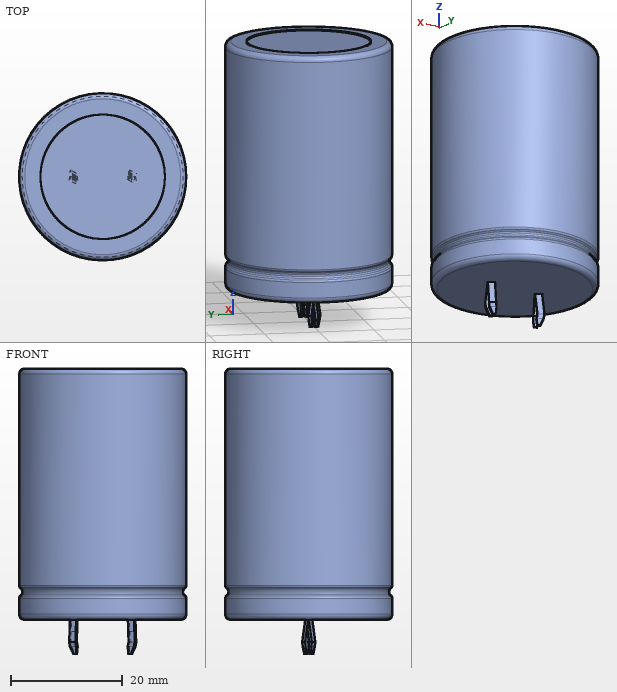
import cadquery as cq

overall_height = 51.15
can_diameter = 29.95
pin_length = 6.15
can_height = overall_height - pin_length
can_radius = can_diameter / 2
rim_radius = 1.0

groove_height = 5.0
groove_depth = 0.55
root_half_width = 0.35
groove_half_width = root_half_width + groove_depth
shoulder_radius = 0.55
root_radius = 0.45
selection_margin = 0.05

window_diameter = 22.3
window_depth = 0.18

strip_width = 1.3
strip_thickness = 0.6
strip_angle = -30.0
pin_embed = 0.5
splay_height = -4.0
knee_height = -4.8
root_x, root_y = -5.15, 0.0
splay_x, splay_y = -5.3, 0.6
knee_x, knee_y = -5.15, 0.5
tip_x, tip_y = -4.9, 0.5
tip_width = 0.5
tip_thickness = 0.4


def groove_rings(reach_up_down):
    """Select the circular edges lying within a band of heights about the groove."""
    low = groove_height - reach_up_down
    high = groove_height + reach_up_down
    half_side = can_diameter
    lower_corner = (-half_side, -half_side, low)
    upper_corner = (half_side, half_side, high)
    return cq.selectors.BoxSelector(lower_corner, upper_corner, boundingbox=True)


def make_can():
    """Revolve the can with its crimp groove, then round the groove corners and both rims."""
    profile = [
        (0, 0),
        (can_radius, 0),
        (can_radius, groove_height - groove_half_width),
        (can_radius - groove_depth, groove_height - root_half_width),
        (can_radius - groove_depth, groove_height + root_half_width),
        (can_radius, groove_height + groove_half_width),
        (can_radius, can_height),
        (0, can_height),
    ]
    can = cq.Workplane("XZ").polyline(profile).close().revolve(360, (0, 0, 0), (0, 1, 0))

    inner_rings = groove_rings(root_half_width + selection_margin)
    outer_rings = groove_rings(groove_half_width + selection_margin) - inner_rings
    can = can.edges("%CIRCLE").edges(outer_rings).fillet(shoulder_radius)
    can = can.edges("%CIRCLE").edges(inner_rings).fillet(root_radius)
    return can.faces("<Z or >Z").edges().fillet(rim_radius)


def cut_window(can):
    """Sink the shallow round window into the top."""
    top = can.faces(">Z").workplane(origin=(0, 0, can_height))
    return top.circle(window_diameter / 2).cutBlind(-window_depth)


def strip_section(x, y, z, width, thickness):
    """Closed outline of the turned strip at one height."""
    return (
        cq.Workplane("XY", origin=(x, y, z))
        .transformed(rotate=(0, 0, strip_angle))
        .rect(width, thickness)
        .val()
    )


def make_leg(side):
    """One leg: splays outward going down, kinks back in and tapers to its tip.

    side is -1 for the leg toward -Y and +1 for the leg toward +Y.
    """
    sections = [
        strip_section(root_x, side * root_y, pin_embed, strip_width, strip_thickness),
        strip_section(splay_x, side * splay_y, splay_height, strip_width, strip_thickness),
        strip_section(knee_x, side * knee_y, knee_height, strip_width, strip_thickness),
        strip_section(tip_x, side * tip_y, -pin_length, tip_width, tip_thickness),
    ]
    return cq.Workplane("XY").add(cq.Solid.makeLoft(sections, True))


result = cut_window(make_can())

for turn in (0, 180):
    for side in (-1, 1):
        leg = make_leg(side).rotate((0, 0, 0), (0, 0, 1), turn)
        result = result.union(leg)